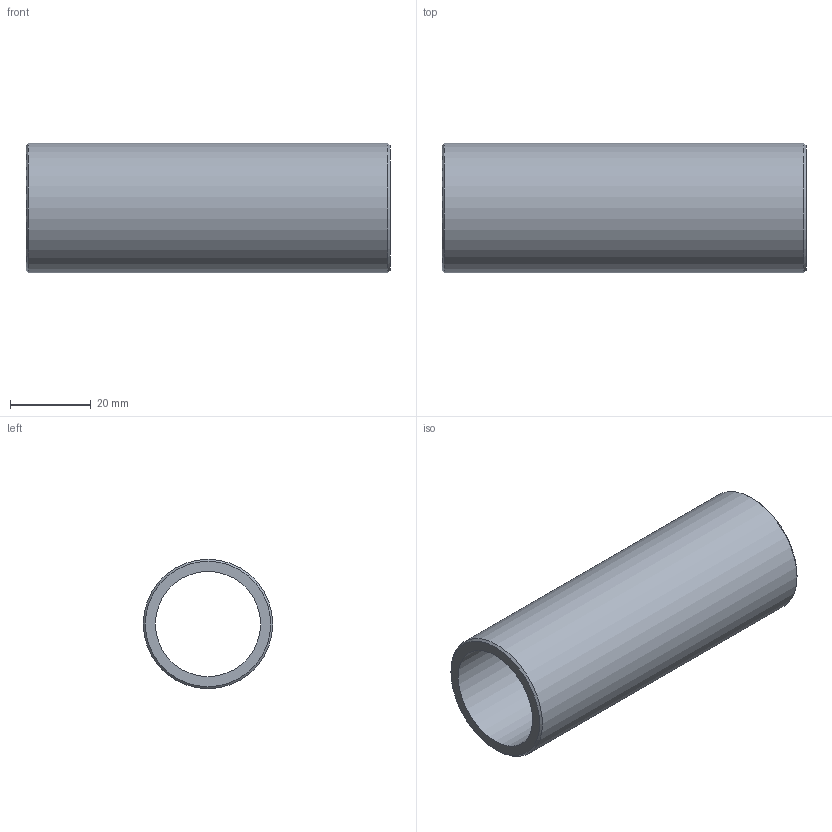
import cadquery as cq

length = 90.0
outer_diameter = 32.0
bore_diameter = 26.0
end_chamfer = 0.5


def full_length_cylinder(diameter):
    """Cylinder along X that spans the whole length of the sleeve."""
    end_plane = cq.Workplane("YZ").workplane(offset=-length / 2)
    return end_plane.circle(diameter / 2).extrude(length)


def chamfered_body():
    """Solid outer cylinder with both end edges chamfered."""
    return full_length_cylinder(outer_diameter).faces("<X or >X").edges().chamfer(end_chamfer)


through_bore = full_length_cylinder(bore_diameter)
result = chamfered_body().cut(through_bore)